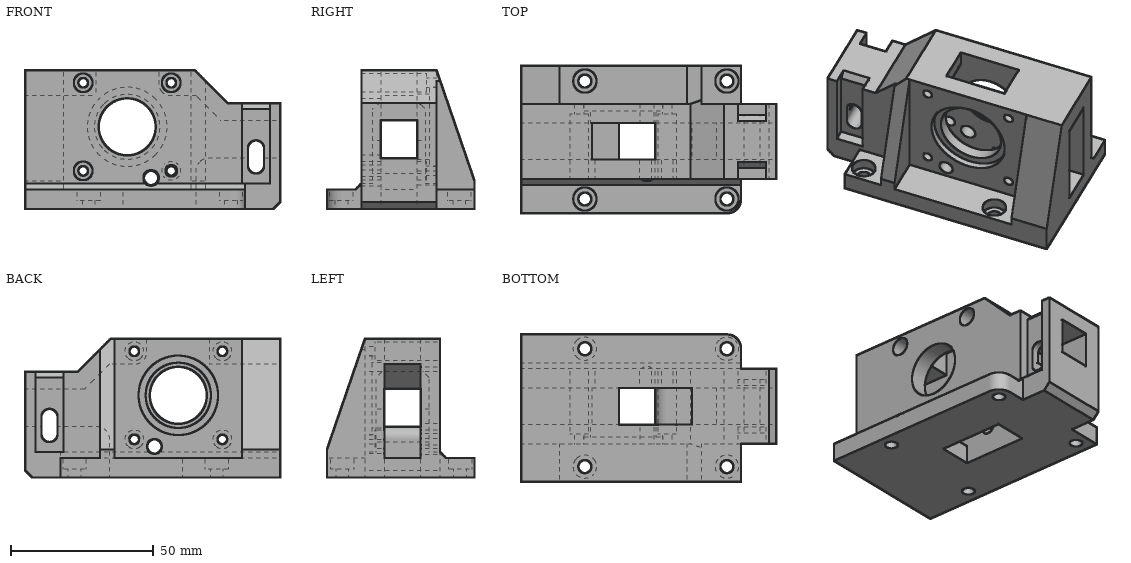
import cadquery as cq
import math

base_length = 77.4
base_width = 52.0
base_thickness = 7.0
base_corner_radius = 5.0

length = 89.79
height = 49.0
tower_front = 12.1
tower_back = 38.6
end_top = 37.3
shoulder_end = 71.3
toe_chamfer = 2.5
foot_chamfer = 2.0

back_edge_height = 10.0
back_length = 63.5
motor_size = 44.8

motor_x = 35.9
motor_z = 29.0
bolt_spacing = 31.0
shaft_diameter = 20.0
motor_bore_diameter = 23.0
motor_boss_diameter = 28.0
motor_boss_depth = 2.5
bolt_diameter = 3.3
bolt_head_diameter = 6.6
driver_diameter = 4.1
bolt_seat_thickness = 3.5

axle_x = 44.3
axle_z = 11.0
axle_front_diameter = 5.5
axle_back_diameter = 5.0

channel_front = 19.0
channel_back = 31.8
channel_roof = 40.0
end_roof = 31.3
sill_height = 18.0
sill_radius = 4.5
roof_wall = end_top - end_roof
top_window_start = 24.9
top_window_end = 47.1
window_lip_radius = 4.0
bottom_window_start = 34.5

recess_start = 76.3
recess_end = 86.2
recess_floor = base_thickness + foot_chamfer
recess_depth = 3.9
recess_flare = 2.1
slot_width = 5.6
slot_length = 11.6
slot_z = 18.4

screw_xs = (22.4, 72.4)
screw_ys = (5.1, 46.6)
screw_diameter = 4.5
screw_head_diameter = 8.2
screw_head_depth = 4.0

shoulder_start = shoulder_end - (height - end_top)
slope_start = shoulder_start + height - channel_roof - roof_wall * math.sqrt(2)
slope_end = slope_start + channel_roof - end_roof


def box(x0, x1, y0, y1, z0, z1):
    """Box between opposite corners."""
    return cq.Workplane("XY").box(x1 - x0, y1 - y0, z1 - z0, centered=False).translate((x0, y0, z0))


def along_y(profile, y0, y1):
    """Extrude an XZ profile from y0 to y1."""
    return profile.extrude(y0 - y1).translate((0, y0, 0))


def along_x(profile, x0, x1):
    """Extrude a YZ profile from x0 to x1."""
    return profile.extrude(x1 - x0).translate((x0, 0, 0))


def y_hole(x, z, diameter, y0, y1):
    """Cylinder along Y for cutting a hole."""
    return along_y(cq.Workplane("XZ").center(x, z).circle(diameter / 2), y0, y1)


def make_base():
    """Flange with one rounded corner and the sloped strip at the foot of the tower."""
    base = box(0, base_length, 0, base_width, 0, base_thickness)
    base = base.edges("|Z and >X and <Y").fillet(base_corner_radius)
    corner = cq.Workplane("YZ").polyline([
        (tower_front - foot_chamfer, base_thickness),
        (tower_front, base_thickness),
        (tower_front, base_thickness + foot_chamfer),
    ]).close()
    return base.union(along_x(corner, 0, base_length))


def make_tower():
    side = cq.Workplane("XZ").polyline([
        (0, 0),
        (length - toe_chamfer, 0),
        (length, toe_chamfer),
        (length, end_top),
        (shoulder_end, end_top),
        (shoulder_start, height),
        (0, height),
    ]).close()
    return along_y(side, tower_front, tower_back)


def make_motor_housing():
    """Sloped block behind the tower, pocketed so that two ribs flank the motor."""
    section = cq.Workplane("YZ").polyline([
        (tower_back, 0),
        (base_width, 0),
        (base_width, back_edge_height),
        (tower_back, height),
    ]).close()
    housing = along_x(section, 0, back_length)
    shoulder = cq.Workplane("XZ").polyline([
        (shoulder_start, height),
        (shoulder_end, end_top),
        (shoulder_end, height),
    ]).close()
    housing = housing.cut(along_y(shoulder, tower_back, base_width))
    motor = box(motor_x - motor_size / 2, motor_x + motor_size / 2,
                tower_back, base_width, base_thickness, height)
    return housing.cut(motor)


def make_channel():
    """Belt channel with a stepped floor, a sloped roof and windows above and below."""
    side = (
        cq.Workplane("XZ")
        .moveTo(0, base_thickness)
        .lineTo(slope_start, base_thickness)
        .lineTo(slope_start, sill_height - sill_radius)
        .radiusArc((slope_start + sill_radius, sill_height), sill_radius)
        .lineTo(length, sill_height)
        .lineTo(length, end_roof)
        .lineTo(slope_end, end_roof)
        .lineTo(slope_start, channel_roof)
        .lineTo(top_window_end + window_lip_radius, channel_roof)
        .radiusArc((top_window_end, channel_roof + window_lip_radius), window_lip_radius)
        .lineTo(top_window_end, height)
        .lineTo(top_window_start, height)
        .lineTo(top_window_start, channel_roof)
        .lineTo(0, channel_roof)
        .close()
    )
    bottom_window = box(bottom_window_start, slope_start,
                        channel_front, channel_back, 0, base_thickness)
    return along_y(side, channel_front, channel_back).union(bottom_window)


def cut_motor_mount(body):
    body = body.cut(y_hole(motor_x, motor_z, shaft_diameter, tower_front, channel_front))
    body = body.cut(y_hole(motor_x, motor_z, motor_bore_diameter, channel_back, tower_back))
    boss_start = tower_back - motor_boss_depth
    body = body.cut(y_hole(motor_x, motor_z, motor_boss_diameter, boss_start, tower_back))
    half = bolt_spacing / 2
    seat = tower_back - bolt_seat_thickness
    for x_side in (-1, 1):
        for z_side in (-1, 1):
            x = motor_x + x_side * half
            z = motor_z + z_side * half
            body = body.cut(y_hole(x, z, bolt_diameter, tower_front, base_width))
            beside_axle = x_side > 0 and z_side < 0
            if beside_axle:
                body = body.cut(y_hole(x, z, driver_diameter, tower_front, channel_front))
            head_start = channel_back if beside_axle else tower_front
            body = body.cut(y_hole(x, z, bolt_head_diameter, head_start, seat))
    return body


def cut_axle(body):
    chamfer_start = tower_front - foot_chamfer
    body = body.cut(y_hole(axle_x, axle_z, axle_front_diameter, chamfer_start, channel_front))
    return body.cut(y_hole(axle_x, axle_z, axle_back_diameter, channel_back, tower_back))


def make_recess():
    """Recess on the -Y face, its floor leaning inward at the open top."""
    floor_y = tower_front + recess_depth
    section = cq.Workplane("YZ").polyline([
        (tower_front, recess_floor),
        (floor_y, recess_floor),
        (floor_y, end_top - recess_flare),
        (floor_y + recess_flare, end_top),
        (tower_front, end_top),
    ]).close()
    return along_x(section, recess_start, recess_end)


def cut_tensioner(body):
    middle = (tower_front + tower_back) / 2
    recess = make_recess()
    body = body.cut(recess).cut(recess.mirror("XZ", (0, middle, 0)))
    slot_x = (recess_start + recess_end) / 2
    slot = cq.Workplane("XZ").center(slot_x, slot_z).slot2D(slot_length, slot_width, 90)
    return body.cut(along_y(slot, tower_front, tower_back))


def cut_base_screws(body):
    places = [(x, y) for x in screw_xs for y in screw_ys]
    shanks = cq.Workplane("XY").pushPoints(places).circle(screw_diameter / 2).extrude(base_thickness)
    seat = cq.Workplane("XY").workplane(offset=base_thickness - screw_head_depth)
    heads = seat.pushPoints(places).circle(screw_head_diameter / 2).extrude(screw_head_depth)
    return body.cut(shanks).cut(heads)


result = make_base().union(make_tower()).union(make_motor_housing()).cut(make_channel())
result = cut_motor_mount(result)
result = cut_axle(result)
result = cut_tensioner(result)
result = cut_base_screws(result)